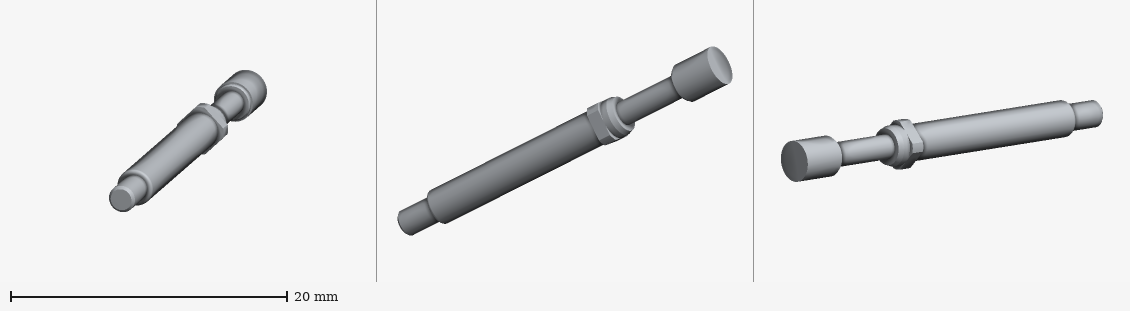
import cadquery as cq

total_length = 28.8
tip_length = 3.0
barrel_length = 15.03
flange_thickness = 1.0
collar_length = 0.55
collar_taper_length = 0.43
head_length = 3.2
head_shoulder_length = 0.3

tip_diameter = 2.0
barrel_diameter = 2.7
flange_diameter = 3.6
collar_diameter = 3.0
stem_diameter = 1.8
head_diameter = collar_diameter
head_shoulder_diameter = barrel_diameter

flange_across_flats = collar_diameter
flange_rotation = 45

tip_chamfer = 0.2
barrel_fillet = 0.23
head_shoulder_chamfer = 0.1

barrel_start = tip_length
flange_start = barrel_start + barrel_length
collar_start = flange_start + flange_thickness
taper_start = collar_start + collar_length
stem_start = taper_start + collar_taper_length
head_start = total_length - head_length
head_shoulder_start = head_start - head_shoulder_length


def cylinder(start, end, diameter):
    """Solid cylinder on the Y axis between two stations."""
    plane = cq.Workplane("XZ", origin=(0, start, 0))
    return plane.circle(diameter / 2).extrude(start - end)


def make_tip():
    """Plain pin with a chamfered free end."""
    return cylinder(0, barrel_start, tip_diameter).faces("<Y").chamfer(tip_chamfer)


def make_barrel():
    """Long barrel with a rounded edge where the tip emerges."""
    barrel = cylinder(barrel_start, flange_start, barrel_diameter)
    return barrel.faces("<Y").edges().fillet(barrel_fillet)


def make_flange():
    """Square nut set on its corners, each corner rounded to the flange diameter."""
    square = (
        cq.Workplane("XZ", origin=(0, flange_start, 0))
        .transformed(rotate=(0, 0, flange_rotation))
        .rect(flange_across_flats, flange_across_flats)
        .extrude(-flange_thickness)
    )
    return square.intersect(cylinder(flange_start, collar_start, flange_diameter))


def make_collar():
    """Short cylinder that tapers towards the stem."""
    collar = cylinder(collar_start, stem_start, collar_diameter)
    taper_depth = (collar_diameter - barrel_diameter) / 2
    return collar.faces(">Y").edges().chamfer(collar_taper_length, taper_depth)


def make_stem():
    """Thin rod joining the collar to the head."""
    return cylinder(stem_start, head_shoulder_start, stem_diameter)


def make_head():
    """Plain plunger head with a narrower chamfered shoulder facing the stem."""
    shoulder = cylinder(head_shoulder_start, head_start, head_shoulder_diameter)
    shoulder = shoulder.faces("<Y").chamfer(head_shoulder_chamfer)
    return shoulder.union(cylinder(head_start, total_length, head_diameter))


result = (
    make_tip()
    .union(make_barrel())
    .union(make_flange())
    .union(make_collar())
    .union(make_stem())
    .union(make_head())
)